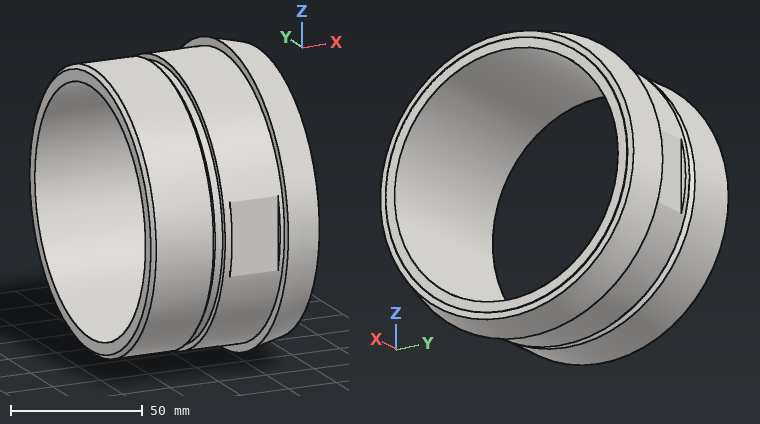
import cadquery as cq

length = 70.0
bore_diameter = 100.0
collar_diameter = 121.0

spigot_diameter = 113.0
groove_diameter = 109.5
body_diameter = 114.0
collar_end_diameter = 113.5
end_lip_diameter = 108.2

spigot_chamfer = 1.5
groove_start = 26.9
body_start = 30.0
collar_start = 54.8
end_lip_length = 0.5

flat_start = 32.9
flat_length = 20.1
flat_distance = 55.0


def turned_ring():
    """Revolve the stepped wall section around the X axis."""
    bore_radius = bore_diameter / 2
    spigot_radius = spigot_diameter / 2
    groove_radius = groove_diameter / 2
    body_radius = body_diameter / 2
    end_lip_radius = end_lip_diameter / 2
    lip_start = length - end_lip_length
    section = [
        (0, bore_radius),
        (0, groove_radius),
        (spigot_chamfer, spigot_radius),
        (groove_start - spigot_chamfer, spigot_radius),
        (groove_start, groove_radius),
        (body_start, groove_radius),
        (body_start, body_radius),
        (collar_start, body_radius),
        (collar_start, collar_diameter / 2),
        (lip_start, collar_end_diameter / 2),
        (lip_start, end_lip_radius),
        (length, end_lip_radius),
        (length, bore_radius),
    ]
    return cq.Workplane("XY").polyline(section).close().revolve(360, (0, 0, 0), (1, 0, 0))


def flat_cutter(side):
    """Block outside one flat; side is -1 or +1 along Y."""
    depth = collar_diameter / 2 - flat_distance
    block = cq.Workplane("XY").box(flat_length, depth, body_diameter)
    return block.translate((flat_start + flat_length / 2, side * (flat_distance + depth / 2), 0))


result = turned_ring()
for side in (-1, 1):
    result = result.cut(flat_cutter(side))